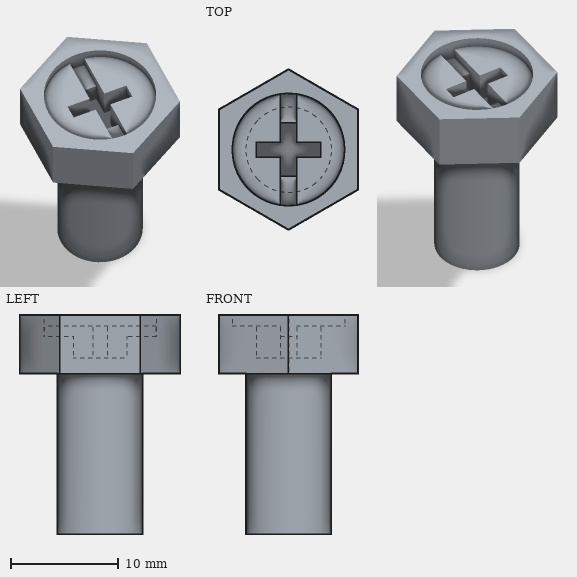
import cadquery as cq
import math

total_height = 20.5
shank_length = 15.0
shank_diameter = 8.0
head_height = total_height - shank_length
head_across_flats = 13.0

recess_diameter = 10.5
recess_depth = 1.0
slot_width = 1.5
slot_depth = 1.0
cross_length_x = 6.0
cross_length_y = 5.0
cross_arm_width = 1.4
cross_depth = 3.0

recess_floor = total_height - recess_depth


def hexagonal_head():
    """Hexagonal prism with corners on the Y axis and flats facing X."""
    flats_to_corners = math.cos(math.pi / 6)
    return (
        cq.Workplane("XY", origin=(0, 0, shank_length))
        .polygon(6, head_across_flats / flats_to_corners)
        .extrude(head_height)
        .rotate((0, 0, 0), (0, 0, 1), 90)
    )


def recess_cylinder(bottom, height):
    """Cylinder of the recess diameter, starting at the given height."""
    return cq.Workplane("XY", origin=(0, 0, bottom)).circle(recess_diameter / 2).extrude(height)


def slot_box(length_x, length_y, depth):
    """Centred box reaching down from the recess floor."""
    return cq.Workplane("XY", origin=(0, 0, recess_floor)).rect(length_x, length_y).extrude(-depth)


shank = cq.Workplane("XY").circle(shank_diameter / 2).extrude(shank_length)

long_slot = slot_box(slot_width, recess_diameter, slot_depth).intersect(
    recess_cylinder(recess_floor - slot_depth, slot_depth)
)

cross_x = slot_box(cross_length_x, cross_arm_width, cross_depth)
cross_y = slot_box(slot_width, cross_length_y, cross_depth)

result = (
    shank.union(hexagonal_head())
    .cut(recess_cylinder(recess_floor, recess_depth))
    .cut(long_slot)
    .cut(cross_x)
    .cut(cross_y)
)